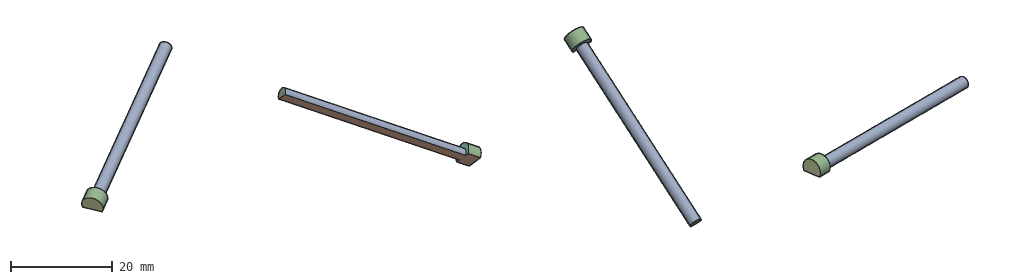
import cadquery as cq

total_length = 46.0
head_length = 3.0
head_diameter = 4.5
head_height = 3.25
shank_diameter = 2.6
shank_height = 2.02


def flatted_cylinder(diameter, height, length):
    """Cylinder along +Y from Y = 0, cut to the given height by a flat at Z = 0."""
    axis_z = height - diameter / 2
    cylinder = cq.Workplane("XZ").center(0, axis_z).circle(diameter / 2).extrude(-length)
    space_above_flat = cq.Workplane("XY").box(
        diameter, length, height, centered=(True, False, False)
    )
    return cylinder.intersect(space_above_flat)


head = flatted_cylinder(head_diameter, head_height, head_length)
shank = flatted_cylinder(shank_diameter, shank_height, total_length)

result = head.union(shank)